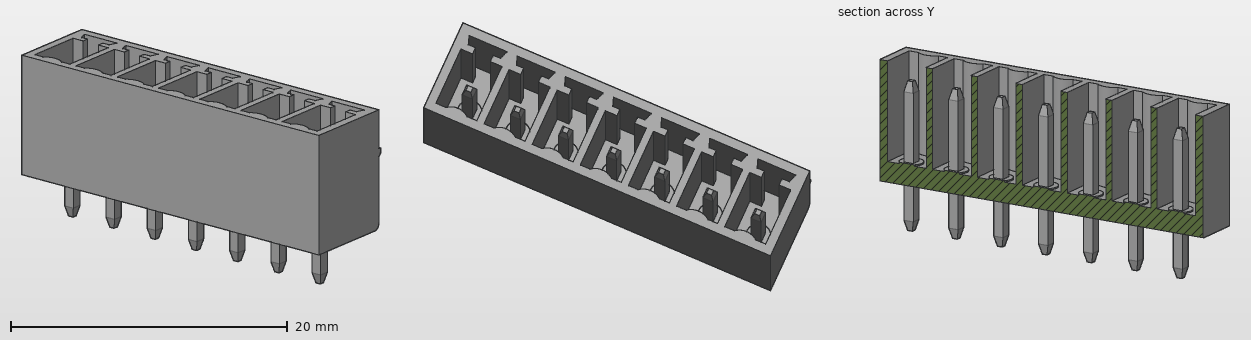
import cadquery as cq

POLE_COUNT = 7
PITCH = 3.81
END_MARGIN = 2.3
LENGTH = (POLE_COUNT - 1) * PITCH + 2 * END_MARGIN

DEPTH = 7.0
HEIGHT = 9.2
BOTTOM_EDGE_RADIUS = 0.5

RIB_PROJECTION = 0.2
RIB_DROP = 3.0
RIB_TOP = HEIGHT - RIB_DROP
RIB_HEIGHT = 0.6
RIB_CHAMFER = 0.2
RIB_ROOT = 0.2

FLOOR_HEIGHT = 1.6
CHAMBER_WIDTH = 3.24
CHAMBER_FRONT = 0.67
CHAMBER_REAR = 5.13
NECK_WIDTH = 1.4
NECK_REAR = 5.65
DOVETAIL_FRONT_WIDTH = 2.55
DOVETAIL_REAR_WIDTH = 3.0
DOVETAIL_REAR = 6.3
SWELL_WIDTH = 1.7
SWELL_HEIGHT = 0.3

COLLAR_DIAMETER = 1.8
COLLAR_HEIGHT = 0.1

PIN_Y = 3.0
PIN_SIZE = 0.8
PIN_TIP_SIZE = 0.4
PIN_TAPER = 0.8
PIN_TAIL = 3.5
PIN_TOP = 7.8


def make_housing():
    body = cq.Workplane("XY").box(LENGTH, DEPTH, HEIGHT, centered=(True, False, False))
    return body.edges("|X and >Y and <Z").fillet(BOTTOM_EDGE_RADIUS)


def make_rib():
    outer_face = DEPTH + RIB_PROJECTION
    rib_bottom = RIB_TOP - RIB_HEIGHT
    profile = [
        (DEPTH - RIB_ROOT, RIB_TOP),
        (outer_face, RIB_TOP),
        (outer_face, rib_bottom + RIB_CHAMFER),
        (outer_face - RIB_CHAMFER, rib_bottom),
        (DEPTH - RIB_ROOT, rib_bottom),
    ]
    return cq.Workplane("YZ").polyline(profile).close().extrude(LENGTH / 2, both=True)


def make_pocket():
    right_half = [
        (CHAMBER_WIDTH / 2, CHAMBER_FRONT),
        (CHAMBER_WIDTH / 2, CHAMBER_REAR),
        (NECK_WIDTH / 2, CHAMBER_REAR),
        (NECK_WIDTH / 2, NECK_REAR),
        (DOVETAIL_FRONT_WIDTH / 2, NECK_REAR),
        (DOVETAIL_REAR_WIDTH / 2, DOVETAIL_REAR),
    ]
    left_half = [(-x, y) for x, y in reversed(right_half)]
    return (
        cq.Workplane("XY", origin=(0, 0, FLOOR_HEIGHT))
        .moveTo(SWELL_WIDTH / 2, CHAMBER_FRONT)
        .polyline(right_half + left_half, includeCurrent=True)
        .lineTo(-SWELL_WIDTH / 2, CHAMBER_FRONT)
        .threePointArc((0, CHAMBER_FRONT + SWELL_HEIGHT), (SWELL_WIDTH / 2, CHAMBER_FRONT))
        .close()
        .extrude(HEIGHT - FLOOR_HEIGHT)
    )


def make_collar():
    return (
        cq.Workplane("XY", origin=(0, PIN_Y, FLOOR_HEIGHT))
        .circle(COLLAR_DIAMETER / 2)
        .extrude(COLLAR_HEIGHT)
    )


def make_pin_tip(base_height, end_height):
    return (
        cq.Workplane("XY", origin=(0, PIN_Y, base_height))
        .rect(PIN_SIZE, PIN_SIZE)
        .workplane(offset=end_height - base_height)
        .rect(PIN_TIP_SIZE, PIN_TIP_SIZE)
        .loft(ruled=True)
    )


def make_pin():
    shaft_bottom = PIN_TAPER - PIN_TAIL
    shaft_top = PIN_TOP - PIN_TAPER
    shaft = (
        cq.Workplane("XY", origin=(0, PIN_Y, shaft_bottom))
        .rect(PIN_SIZE, PIN_SIZE)
        .extrude(shaft_top - shaft_bottom)
    )
    lower_tip = make_pin_tip(shaft_bottom, -PIN_TAIL)
    upper_tip = make_pin_tip(shaft_top, PIN_TOP)
    return shaft.union(lower_tip).union(upper_tip)


result = make_housing().union(make_rib())
pocket = make_pocket()
pin = make_pin().union(make_collar())
for pole in range(POLE_COUNT):
    pole_position = (END_MARGIN + pole * PITCH - LENGTH / 2, 0, 0)
    result = result.cut(pocket.translate(pole_position))
    result = result.union(pin.translate(pole_position))